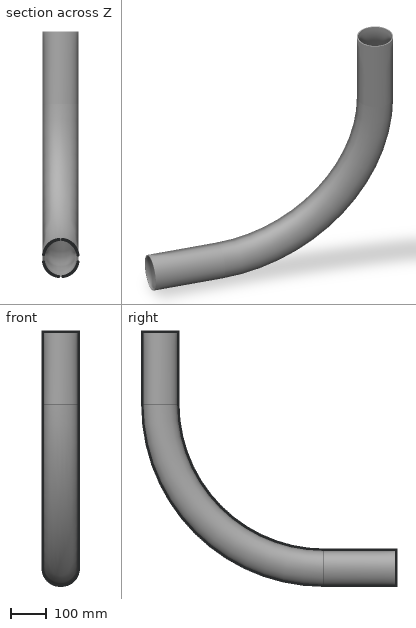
import cadquery as cq

outer_diameter = 101.6
inner_diameter = 95.5
overall_length = 711.2
straight_length = 2 * outer_diameter
bend_angle = 90.0

bend_radius = overall_length - straight_length - outer_diameter / 2


def pipe_section(plane):
    """Annular pipe cross-section at the origin of the given plane."""
    return cq.Workplane(plane).circle(outer_diameter / 2).circle(inner_diameter / 2)


vertical_plane = cq.Plane(origin=(0, 0, bend_radius), xDir=(1, 0, 0), normal=(0, 0, 1))
vertical_leg = pipe_section(vertical_plane).extrude(straight_length)

horizontal_plane = cq.Plane(origin=(0, bend_radius, 0), xDir=(1, 0, 0), normal=(0, 1, 0))
horizontal_leg = pipe_section(horizontal_plane).extrude(straight_length)

bend = pipe_section(vertical_plane).revolve(bend_angle, (0, bend_radius, 0), (1, bend_radius, 0))

result = bend.union(vertical_leg).union(horizontal_leg)